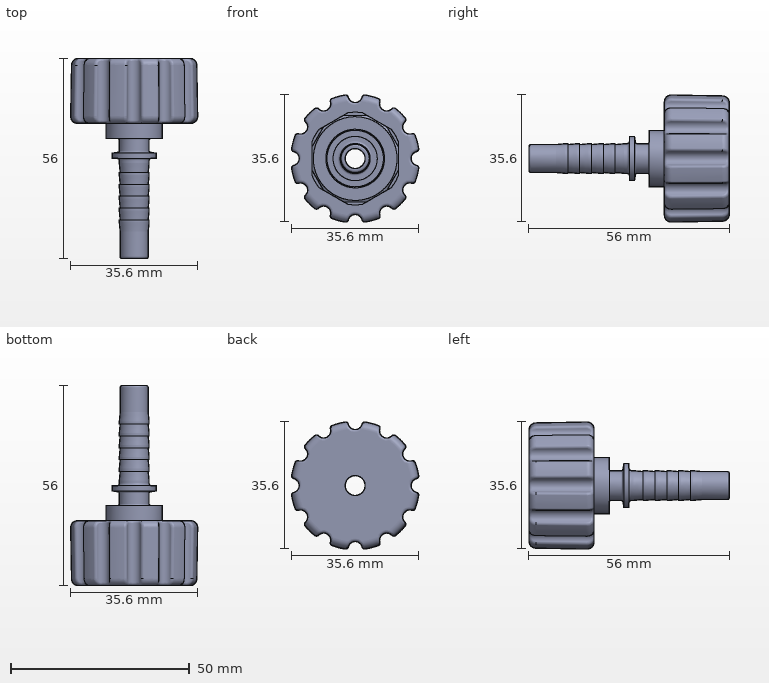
import cadquery as cq
import math


total_length = 56.0
knob_length = 18.2
knob_front_radius = 18.05
knob_draft_angle = 1.0
knob_edge_radius = 2.0

flute_count = 12
flute_radius = 1.95
flute_floor_radius = 15.7
flute_edge_radius = 0.8

hexagon_sides = 6
hexagon_half_step = 180.0 / hexagon_sides
across_flats = 24.2
insert_face_diameter = 23.4
insert_chamfer_angle = 30.0
insert_sink = 0.2
pocket_corner_diameter = 25.9
pocket_depth = 2.0

collar_diameter = 15.8
collar_end_at = 22.45
relief_diameter = 16.4
relief_depth = 1.0

flange_diameter = 12.4
flange_slope_at = 26.2
flange_back_at = 26.5
flange_front_at = 27.95
flange_front_fillet = 0.7
neck_fillet = 0.35

stem_diameter = 8.4
tube_diameter = 7.9
barb_count = 6
barb_first_at = flange_front_at + flange_front_fillet
barb_pitch = 3.3
barb_land = 0.7
tube_end_radius = 0.6
bore_diameter = 5.5

pocket_floor_at = knob_length - pocket_depth
insert_face_at = knob_length - insert_sink


def make_knob():
    """Slightly conical knob with rounded rims and rounded grip flutes."""
    draft = knob_length * math.tan(math.radians(knob_draft_angle))
    knob = (
        cq.Workplane("XY")
        .circle(knob_front_radius - draft)
        .workplane(offset=knob_length)
        .circle(knob_front_radius)
        .loft(ruled=True)
        .edges("%CIRCLE")
        .fillet(knob_edge_radius)
    )
    flutes = (
        cq.Workplane("XY")
        .polarArray(flute_floor_radius + flute_radius, 0, 360, flute_count)
        .circle(flute_radius)
        .extrude(knob_length)
    )
    knob = knob.cut(flutes)

    flute_edges = []
    for face in knob.faces("%CYLINDER").vals():
        flute_edges.extend(face.Edges())
    return knob.newObject(flute_edges).fillet(flute_edge_radius)


def hexagon_prism(turn):
    """Hexagonal prism from the pocket floor to the knob front, turned about its axis."""
    across_corners = across_flats / math.cos(math.radians(hexagon_half_step))
    return (
        cq.Workplane("XY", origin=(0, 0, pocket_floor_at))
        .transformed(rotate=(0, 0, turn))
        .polygon(hexagon_sides, across_corners)
        .extrude(pocket_depth)
    )


def make_insert():
    """Twelve-sided insert: two crossed hexagons with a conical chamfer around the face."""
    insert_height = insert_face_at - pocket_floor_at
    face_radius = insert_face_diameter / 2
    cone_growth = insert_height / math.tan(math.radians(insert_chamfer_angle))
    cone = (
        cq.Workplane("XY", origin=(0, 0, pocket_floor_at))
        .circle(face_radius + cone_growth)
        .workplane(offset=insert_height)
        .circle(face_radius)
        .loft(ruled=True)
    )
    return cone.intersect(hexagon_prism(0)).intersect(hexagon_prism(hexagon_half_step))


def make_pocket():
    """Hexagonal pocket with rounded corners and flats facing +X and -X."""
    corner_round = cq.Workplane("XY").circle(pocket_corner_diameter / 2).extrude(knob_length)
    return hexagon_prism(hexagon_half_step).intersect(corner_round)


def make_relief():
    """Shallow round recess in the insert face that surrounds the collar."""
    return (
        cq.Workplane("XY", origin=(0, 0, insert_face_at - relief_depth))
        .circle(relief_diameter / 2)
        .extrude(relief_depth)
    )


def make_stem():
    """Collar, flange and barbed tube as one revolved profile (radius, distance from back)."""
    collar_radius = collar_diameter / 2
    stem_radius = stem_diameter / 2
    tube_radius = tube_diameter / 2
    flange_radius = flange_diameter / 2

    profile = (
        cq.Workplane("XY")
        .moveTo(0, pocket_floor_at)
        .lineTo(collar_radius, pocket_floor_at)
        .lineTo(collar_radius, collar_end_at)
        .lineTo(stem_radius + neck_fillet, collar_end_at)
        .radiusArc((stem_radius, collar_end_at + neck_fillet), neck_fillet)
        .lineTo(stem_radius, flange_slope_at - neck_fillet)
        .radiusArc((stem_radius + neck_fillet, flange_slope_at), neck_fillet)
        .lineTo(flange_radius, flange_back_at)
        .lineTo(flange_radius, flange_front_at)
        .lineTo(stem_radius + flange_front_fillet, flange_front_at)
        .radiusArc((stem_radius, barb_first_at), flange_front_fillet)
    )

    for barb in range(barb_count):
        barb_at = barb_first_at + barb * barb_pitch
        if barb > 0:
            profile = profile.lineTo(stem_radius, barb_at)
        profile = (
            profile
            .lineTo(stem_radius, barb_at + barb_land)
            .lineTo(tube_radius, barb_at + barb_pitch)
        )

    profile = (
        profile
        .lineTo(tube_radius, total_length - tube_end_radius)
        .radiusArc((tube_radius - tube_end_radius, total_length), -tube_end_radius)
        .lineTo(0, total_length)
        .close()
    )
    stem = profile.revolve(360, (0, 0, 0), (0, 1, 0))
    return stem.rotate((0, 0, 0), (1, 0, 0), 90)


bore = cq.Workplane("XY").circle(bore_diameter / 2).extrude(total_length)

knob = make_knob().cut(make_pocket().cut(make_insert())).cut(make_relief())
part = knob.union(make_stem()).cut(bore)

result = part.rotate((0, 0, 0), (1, 0, 0), 90)